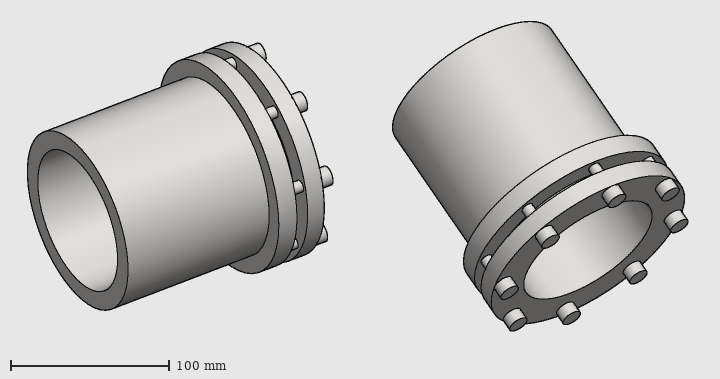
import cadquery as cq

total_length = 147.0
flange_diameter = 143.0
pipe_diameter = 120.0
bore_diameter = 95.0

head_height = 8.0
cover_flange_thickness = 12.5
spacer_thickness = 8.0
pipe_flange_thickness = 13.5

spacer_diameter = 112.0

bolt_count = 8
first_bolt_angle = 15.0
bolt_circle_diameter = 130.0
head_diameter = 13.0
shank_diameter = 8.0

cover_top = total_length - head_height
cover_bottom = cover_top - cover_flange_thickness
pipe_flange_top = cover_bottom - spacer_thickness
pipe_flange_bottom = pipe_flange_top - pipe_flange_thickness


def plane_at(position):
    """Workplane across the axis; its local x and y are +X and +Z, and its normal is -Y."""
    return cq.Workplane("XZ").workplane(offset=-position)


def disc(diameter, start, end):
    """Cylinder on the pipe axis between two axial positions."""
    return plane_at(end).circle(diameter / 2).extrude(end - start)


def bolt_cylinders(diameter, start, end):
    """One cylinder per bolt between two axial positions."""
    return (
        plane_at(end)
        .polarArray(bolt_circle_diameter / 2, first_bolt_angle, 360, bolt_count)
        .circle(diameter / 2)
        .extrude(end - start)
    )


body = disc(pipe_diameter, 0, pipe_flange_bottom)
body = body.union(disc(flange_diameter, pipe_flange_bottom, pipe_flange_top))
body = body.union(disc(spacer_diameter, pipe_flange_top, cover_bottom))
body = body.union(disc(flange_diameter, cover_bottom, cover_top))

body = body.cut(disc(bore_diameter, 0, cover_top))

shanks = bolt_cylinders(shank_diameter, pipe_flange_top, cover_bottom)
heads = bolt_cylinders(head_diameter, cover_top, total_length)

result = body.union(shanks).union(heads)